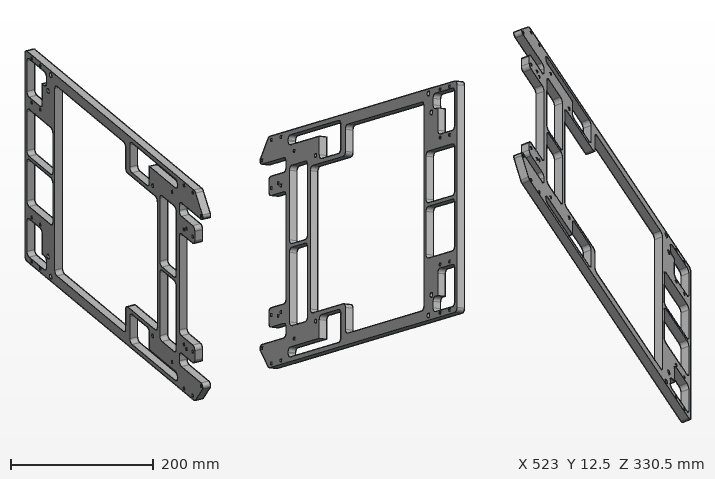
import cadquery as cq
import math

length = 523.0
height = 330.5
thickness = 12.5
corner_radius = 6.5

half_height = height / 2
rear_rail = 6.5
half_web = 2.5
corner_match = 0.05

nose_slope = 52.0
nose_bottom = 128.5
tip_radius = 5.0
front_edge_x = 454.0
tongue_end_x = 499.5
tongue_top = 107.5
tongue_bottom = 80.0

window_rear_x = 88.0
window_step_x = 296.0
window_front_x = 389.0
window_top = 149.0
window_front_top = 105.0

rear_window_front_x = 82.0
rear_window_top = 76.5
front_window_rear_x = 397.0
front_window_front_x = 444.5
front_window_top = 114.5

rear_pocket_top = 156.0
rear_pocket_step = 134.0
rear_pocket_bottom = 95.5
rear_pocket_step_x = 50.5
rear_pocket_front_x = 63.0

side_pocket_top = 158.5
side_pocket_step = 144.5
side_pocket_bottom = 111.5
side_pocket_rear_x = 308.5
side_pocket_step_x = 365.5
side_pocket_front_x = 448.0

small_hole = 4.0
medium_hole = 5.0
large_hole = 7.0
small_hole_columns = [20.0, 45.0, 467.5, 493.0]
small_hole_rows = [90.5, 159.5]
large_hole_places = [(76.0, 158.5), (68.0, 130.0)]
medium_hole_places = [(375.5, 118.0)]
extra_small_hole_places = [(432.5, 134.0), (474.5, 94.5)]

tip_x = length - tip_radius
tip_z = nose_bottom + tip_radius
slope_angle = math.radians(nose_slope)
tip_slope_x = tip_x + tip_radius * math.sin(slope_angle)
tip_slope_z = tip_z + tip_radius * math.cos(slope_angle)
shoulder_x = tip_slope_x - (half_height - tip_slope_z) / math.tan(slope_angle)


def prism(points):
    """Extrude a closed XZ outline through the plate, centred on Y = 0."""
    return cq.Workplane("XZ").polyline(points).close().extrude(thickness / 2, both=True)


def mirrored(points):
    """Upper half points followed by their mirror images, in outline order."""
    return points + [(x, -z) for x, z in reversed(points)]


def rounded(body, sharp_corners=()):
    """Round all corners of a prism except the listed sharp ones."""

    def is_round(edge):
        center = edge.Center()
        return all(math.hypot(center.x - x, center.z - z) > corner_match for x, z in sharp_corners)

    edges = [edge for edge in body.edges("|Y").vals() if is_round(edge)]
    return body.newObject(edges).fillet(corner_radius)


def both_sides(body):
    """Join a body with its mirror image about Z = 0."""
    return body.union(body.mirror("XY"))


def rectangle(x_rear, x_front, z_bottom, z_top):
    """Corner points of an XZ rectangle."""
    return [(x_rear, z_bottom), (x_rear, z_top), (x_front, z_top), (x_front, z_bottom)]


def plate():
    """Outer outline; the nose tips stay sharp here and are rounded afterwards."""
    sharp_tip_x = shoulder_x + (half_height - nose_bottom) / math.tan(slope_angle)
    upper_half = [
        (0, half_height),
        (shoulder_x, half_height),
        (sharp_tip_x, nose_bottom),
        (front_edge_x, nose_bottom),
        (front_edge_x, tongue_top),
        (tongue_end_x, tongue_top),
        (tongue_end_x, tongue_bottom),
        (front_edge_x, tongue_bottom),
    ]
    tips = [(sharp_tip_x, nose_bottom), (sharp_tip_x, -nose_bottom)]
    body = rounded(prism(mirrored(upper_half)), tips)
    return body.edges("|Y and >X").fillet(tip_radius)


def centre_window():
    """Large opening between the rear windows and the front windows."""
    upper_half = [
        (window_rear_x, window_top),
        (window_step_x, window_top),
        (window_step_x, window_front_top),
        (window_front_x, window_front_top),
    ]
    return rounded(prism(mirrored(upper_half)))


def plain_windows():
    """Two rectangular windows at the rear and two at the front, split by the centre webs."""
    rear = rectangle(rear_rail, rear_window_front_x, half_web, rear_window_top)
    front = rectangle(front_window_rear_x, front_window_front_x, half_web, front_window_top)
    return both_sides(rounded(prism(rear)).union(rounded(prism(front))))


def stepped_pockets(x_rear, x_step, x_front, z_bottom, z_step, z_top):
    """L-shaped opening whose inner corner is sharp, on both sides of the plate."""
    inner_corner = (x_step, z_step)
    outline = [
        (x_rear, z_bottom),
        (x_rear, z_top),
        (x_front, z_top),
        (x_front, z_step),
        inner_corner,
        (x_step, z_bottom),
    ]
    return both_sides(rounded(prism(outline), [inner_corner]))


def holes(places, diameter):
    """Through holes at the given places and at their mirror images."""
    all_places = mirrored(places)
    circles = cq.Workplane("XZ").pushPoints(all_places).circle(diameter / 2)
    return circles.extrude(thickness / 2, both=True)


result = plate().cut(centre_window()).cut(plain_windows())
result = result.cut(
    stepped_pockets(
        rear_rail, rear_pocket_step_x, rear_pocket_front_x,
        rear_pocket_bottom, rear_pocket_step, rear_pocket_top,
    )
)
result = result.cut(
    stepped_pockets(
        side_pocket_rear_x, side_pocket_step_x, side_pocket_front_x,
        side_pocket_bottom, side_pocket_step, side_pocket_top,
    )
)

small_hole_places = [(x, z) for x in small_hole_columns for z in small_hole_rows]
small_hole_places += extra_small_hole_places + [(tip_x, tip_z)]
result = result.cut(holes(small_hole_places, small_hole))
result = result.cut(holes(medium_hole_places, medium_hole))
result = result.cut(holes(large_hole_places, large_hole))